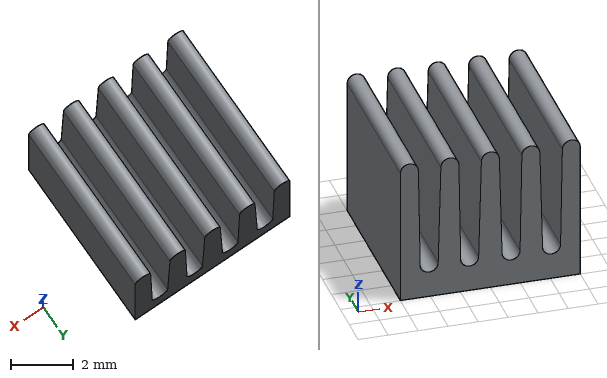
import cadquery as cq

width = 6.0
depth = 6.0
height = 5.0

fin_count = 5
tip_radius = 0.3
fin_pitch = (width - 2 * tip_radius) / (fin_count - 1)
tip_base_z = height - tip_radius

floor_z = 0.9
slot_radius = 0.3
outer_wall_lean = 0.06
slot_base_z = floor_z + slot_radius


def add_tip(outline, center_x):
    """Round over a fin tip from its left side to its right side."""
    return outline.threePointArc((center_x, height), (center_x + tip_radius, tip_base_z))


def add_slot(outline, left_fin_x):
    """Go down, around and up the slot to the right of the given fin."""
    left_top_x = left_fin_x + tip_radius
    right_top_x = left_fin_x + fin_pitch - tip_radius
    if left_fin_x < 0:
        bottom_x = left_top_x + outer_wall_lean + slot_radius
    else:
        bottom_x = right_top_x - outer_wall_lean - slot_radius
    return (
        outline.lineTo(bottom_x - slot_radius, slot_base_z)
        .threePointArc((bottom_x, floor_z), (bottom_x + slot_radius, slot_base_z))
        .lineTo(right_top_x, tip_base_z)
    )


profile = cq.Workplane("XZ").moveTo(-width / 2, 0).lineTo(-width / 2, tip_base_z)
for index in range(fin_count):
    fin_x = (index - (fin_count - 1) / 2) * fin_pitch
    profile = add_tip(profile, fin_x)
    if index < fin_count - 1:
        profile = add_slot(profile, fin_x)
profile = profile.lineTo(width / 2, 0).close()

result = profile.extrude(depth / 2, both=True)